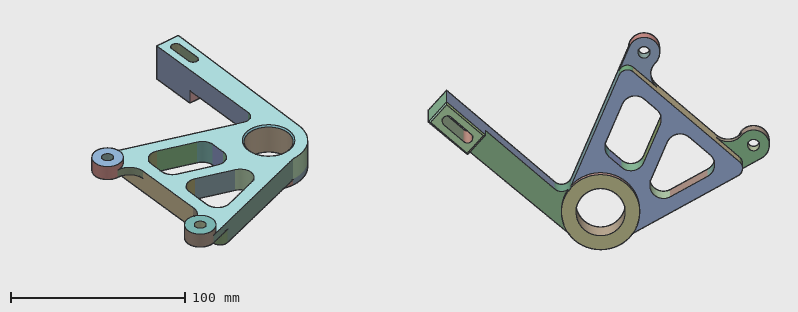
import cadquery as cq
import math

plate_thickness = 14.9
boss_rise = 4.0
boss_height = 9.4
collar_depth = 4.0
pad_depth = 9.9
boss_top = plate_thickness + boss_rise
boss_bottom = boss_top - boss_height

head_radius = 22.5
bore_radius = 14.1
bore_chamfer = 1.0

boss_radius = 9.0
boss_hole_radius = 3.4
boss_x = 42.0
boss_y = -85.2

arm_end_x = boss_x + boss_radius - 162
arm_top_y = 24.0
arm_bottom_y = 8.0
arm_fillet = 6.0
pad_length = 30.0
pad_chamfer = 1.0
slot_length = 21.4
slot_width = 6.2
slot_center_x = -95.5
slot_center_y = (arm_top_y + arm_bottom_y) / 2

base_y = -74.5
base_corner_fillet = 5.2
boss_blend_radius = 10.0
window_top_y = -27.2
window_bottom_y = -66.4
window_fillet = 8.0
leg_width = 8.9
rib_width = 8.3

center_dx = boss_x - head_radius
center_distance = math.hypot(center_dx, boss_y)
leg_angle = math.atan2(center_dx, -boss_y) + math.asin(boss_radius / center_distance)
leg_slope = math.tan(leg_angle)
tangent_x = boss_x + boss_radius * math.cos(leg_angle)
tangent_y = boss_y + boss_radius * math.sin(leg_angle)


def leg_edge_x(y):
    """X of the right leg's outer edge at position y."""
    return head_radius - leg_slope * y


def extrude_outline(sketch, bottom, top):
    return sketch.extrude(top - bottom).translate((0, 0, bottom))


def plate_outline(right_foot, left_foot):
    """Closed outline of arm, head and legs, with the given points at the feet."""
    inner_corner = (-leg_edge_x(arm_bottom_y), arm_bottom_y)
    arc_middle = head_radius * math.sqrt(0.5)
    return (
        cq.Workplane("XY")
        .moveTo(arm_end_x, arm_top_y)
        .lineTo(0, head_radius)
        .threePointArc((arc_middle, arc_middle), (head_radius, 0))
        .polyline(right_foot + left_foot, includeCurrent=True)
        .lineTo(*inner_corner)
        .lineTo(arm_end_x, arm_bottom_y)
        .close()
    )


def fillet_at(body, x, y, radius):
    """Round the vertical edge that passes through (x, y)."""
    reach = 0.2
    low_corner = (x - reach, y - reach, -pad_depth)
    high_corner = (x + reach, y + reach, boss_top)
    selector = cq.selectors.BoxSelector(low_corner, high_corner)
    return body.edges("|Z").edges(selector).fillet(radius)


def lower_plate(bottom, top):
    """Plate with a straight base and rounded base corners."""
    foot_x = leg_edge_x(base_y)
    outline = plate_outline([(foot_x, base_y)], [(-foot_x, base_y)])
    body = extrude_outline(outline, bottom, top)
    for x in (-foot_x, foot_x):
        body = fillet_at(body, x, base_y, base_corner_fillet)
    return fillet_at(body, -leg_edge_x(arm_bottom_y), arm_bottom_y, arm_fillet)


def mirrored_cylinders(x, y, radius):
    """Two cylinders at -x and +x, as tall as the bosses."""
    return (
        cq.Workplane("XY", origin=(0, 0, boss_bottom))
        .pushPoints([(-x, y), (x, y)])
        .circle(radius)
        .extrude(boss_height)
    )


def upper_plate():
    """Plate that reaches the bosses, with round blends from the base."""
    blend_y = base_y - boss_blend_radius
    blend_reach = boss_radius + boss_blend_radius
    blend_x = boss_x - math.sqrt(blend_reach**2 - (blend_y - boss_y) ** 2)
    right_foot = [(tangent_x, tangent_y), (boss_x, boss_y), (blend_x, blend_y), (blend_x, base_y)]
    left_foot = [(-x, y) for x, y in reversed(right_foot)]
    outline = plate_outline(right_foot, left_foot)
    body = extrude_outline(outline, boss_bottom, plate_thickness)
    blends = mirrored_cylinders(blend_x, blend_y, boss_blend_radius)
    body = body.cut(blends)
    return fillet_at(body, -leg_edge_x(arm_bottom_y), arm_bottom_y, arm_fillet)


def collar():
    """Bearing collar, trimmed where the arm fillet cuts into its circle."""
    ring = cq.Workplane("XY").circle(head_radius).extrude(-collar_depth)
    return ring.intersect(lower_plate(-collar_depth, 0))


def end_pad():
    """Block under the free end of the arm, chamfered around its bottom face."""
    width = arm_top_y - arm_bottom_y
    block = cq.Workplane("XY").box(pad_length, width, pad_depth, centered=False)
    block = block.translate((arm_end_x, arm_bottom_y, -pad_depth))
    return block.faces("<Z").chamfer(pad_chamfer).intersect(lower_plate(-pad_depth, 0))


def window(points):
    cutter = cq.Workplane("XY").polyline(points).close().extrude(plate_thickness)
    return cutter.edges("|Z").fillet(window_fillet)


apex_y = window_top_y + window_fillet * (1 / math.sin(leg_angle) - 1)
apex_x = leg_edge_x(apex_y) - leg_width


def right_window_left_x(y):
    """X of the rib-side edge of the right window at position y."""
    return apex_x - leg_slope * (apex_y - y)


def left_window():
    """Parallelogram between the left leg and the rib."""
    def left_x(y):
        return leg_width - leg_edge_x(y)

    width = right_window_left_x(0) - rib_width - left_x(0)
    return window([
        (left_x(window_bottom_y), window_bottom_y),
        (left_x(window_bottom_y) + width, window_bottom_y),
        (left_x(window_top_y) + width, window_top_y),
        (left_x(window_top_y), window_top_y),
    ])


def right_window():
    return window([
        (right_window_left_x(window_bottom_y), window_bottom_y),
        (leg_edge_x(window_bottom_y) - leg_width, window_bottom_y),
        (apex_x, apex_y),
    ])


def bore():
    """Through bore with a chamfered upper rim."""
    rim_radius = bore_radius + bore_chamfer
    profile = [
        (0, -collar_depth),
        (bore_radius, -collar_depth),
        (bore_radius, plate_thickness - bore_chamfer),
        (rim_radius, plate_thickness),
        (0, plate_thickness),
    ]
    return cq.Workplane("XZ").polyline(profile).close().revolve(360, (0, 0), (0, 1))


def arm_slot():
    return (
        cq.Workplane("XY", origin=(slot_center_x, slot_center_y, -pad_depth))
        .slot2D(slot_length, slot_width)
        .extrude(pad_depth + plate_thickness)
    )


bosses = mirrored_cylinders(boss_x, boss_y, boss_radius)
boss_holes = mirrored_cylinders(boss_x, boss_y, boss_hole_radius)

result = lower_plate(0, boss_bottom)
for addition in (upper_plate(), bosses, collar(), end_pad()):
    result = result.union(addition)
for cutter in (boss_holes, left_window(), right_window(), bore(), arm_slot()):
    result = result.cut(cutter)